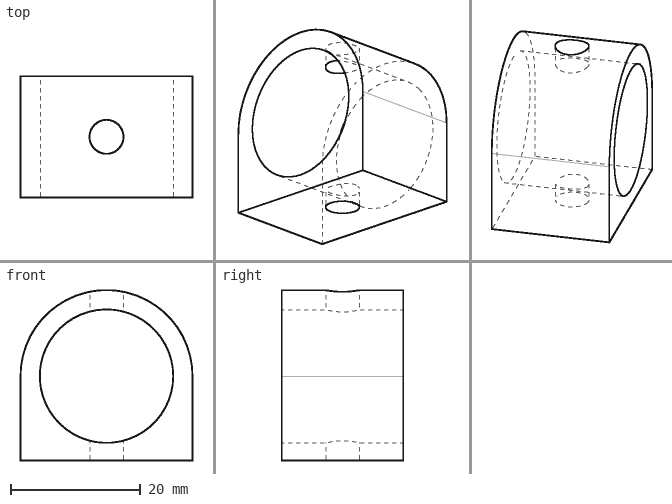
import cadquery as cq

width = 26.5
length = 18.7
axis_height = 13.0
bore_diameter = 20.5
cross_hole_diameter = 5.2

outer_radius = width / 2
total_height = axis_height + outer_radius


def make_body():
    """Block with a flat base and a half-round top; bore axis on the Y axis."""
    return (
        cq.Workplane("XZ")
        .moveTo(-outer_radius, -axis_height)
        .lineTo(outer_radius, -axis_height)
        .lineTo(outer_radius, 0)
        .threePointArc((0, outer_radius), (-outer_radius, 0))
        .close()
        .extrude(length / 2, both=True)
    )


def make_bore():
    """Main bore along Y, concentric with the rounded top."""
    return cq.Workplane("XZ").circle(bore_diameter / 2).extrude(length / 2, both=True)


def make_cross_hole():
    """Vertical hole through the crown and the base, centred on the length."""
    return (
        cq.Workplane("XY")
        .workplane(offset=-axis_height)
        .circle(cross_hole_diameter / 2)
        .extrude(total_height)
    )


result = make_body().cut(make_bore()).cut(make_cross_hole())